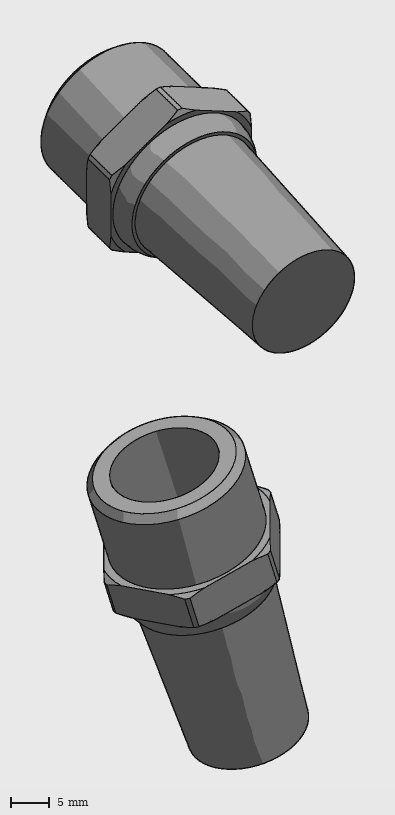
import cadquery as cq
import math

total_length = 45.0
thread_length = 12.0
hex_width = 5.5
collar_width = 3.0
hex_end = thread_length + hex_width
collar_end = hex_end + collar_width

thread_diameter = 21.0
thread_chamfer = 1.0

across_flats = 22.0
across_corners = 25.0
hex_face_diameter = 23.2
hex_chamfer_width = 0.3

collar_large_diameter = 21.4
collar_middle_diameter = 21.05
collar_small_diameter = 19.6
sleeve_large_diameter = 18.65
sleeve_small_diameter = 16.0

bore_diameter = 14.5
end_wall = 1.0


def cylinder(start, length, diameter):
    """Cylinder on the X axis."""
    return cq.Workplane("YZ", origin=(start, 0, 0)).circle(diameter / 2).extrude(length)


def revolve_about_x(profile):
    return profile.close().revolve(360, (0, 0, 0), (1, 0, 0))


def make_thread():
    blank = cylinder(0, thread_length, thread_diameter)
    return blank.faces("<X").chamfer(thread_chamfer)


def make_hexagon():
    corner_diameter = across_flats / math.cos(math.pi / 6)
    prism = (
        cq.Workplane("YZ", origin=(thread_length, 0, 0))
        .transformed(rotate=(0, 0, 90))
        .polygon(6, corner_diameter)
        .extrude(hex_width)
    )
    blank = revolve_about_x(
        cq.Workplane("XY")
        .moveTo(thread_length, 0)
        .lineTo(thread_length, hex_face_diameter / 2)
        .lineTo(thread_length + hex_chamfer_width, across_corners / 2)
        .lineTo(hex_end - hex_chamfer_width, across_corners / 2)
        .lineTo(hex_end, hex_face_diameter / 2)
        .lineTo(hex_end, 0)
    )
    return prism.intersect(blank)


def make_collar():
    return revolve_about_x(
        cq.Workplane("XY")
        .moveTo(hex_end, 0)
        .lineTo(hex_end, collar_large_diameter / 2)
        .threePointArc(
            (hex_end + collar_width / 2, collar_middle_diameter / 2),
            (collar_end, collar_small_diameter / 2),
        )
        .lineTo(collar_end, 0)
    )


def make_sleeve():
    return revolve_about_x(
        cq.Workplane("XY")
        .moveTo(collar_end, 0)
        .lineTo(collar_end, sleeve_large_diameter / 2)
        .lineTo(total_length, sleeve_small_diameter / 2)
        .lineTo(total_length, 0)
    )


body = make_thread().union(make_hexagon()).union(make_collar()).union(make_sleeve())
bore = cylinder(0, total_length - end_wall, bore_diameter)
result = body.cut(bore)